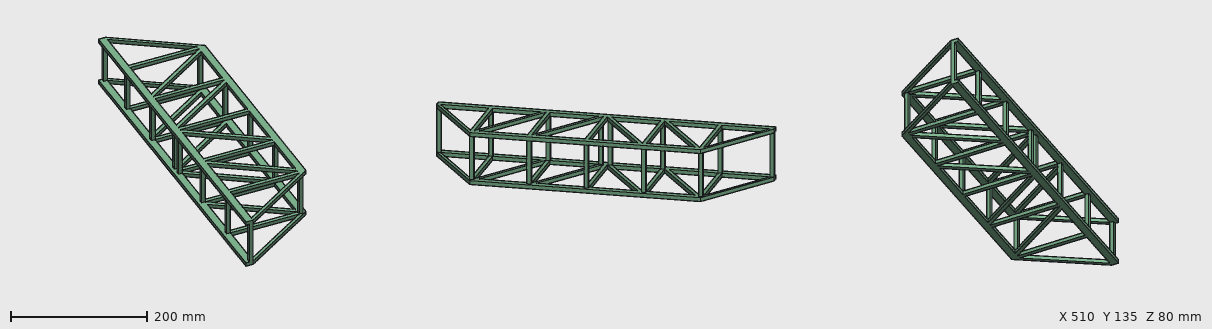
import cadquery as cq
import math

LENGTH = 510.0
WIDTH = 135.0
HEIGHT = 80.0

STICK = 6.0
CHORD_WIDTH = 11.5

PANEL = 86.5
PANELS_PER_HALF = 2
SHORT_CHORD_LENGTH = 349.0
MIDDLE_POST_OFFSET = 7.0

LONG_INNER_Y = -WIDTH / 2 + CHORD_WIDTH
SHORT_INNER_Y = WIDTH / 2 - CHORD_WIDTH
CLEAR_SPAN = SHORT_INNER_Y - LONG_INNER_Y

node_xs = [i * PANEL for i in range(-PANELS_PER_HALF, PANELS_PER_HALF + 1)]


def plate(points):
    """Extrude a plan outline to the thickness of one stick, resting on Z = 0."""
    return cq.Workplane("XY").polyline(points).close().extrude(STICK)


def block(x_center, y_min, x_size, y_size, z_size):
    """Box centred along X on x_center, starting at y_min and Z = 0."""
    box = cq.Workplane("XY").box(x_size, y_size, z_size, centered=(True, False, False))
    return box.translate((x_center, y_min, 0))


def mirrored(points):
    """The same outline on the other side of the middle."""
    return [(-x, y) for x, y in points]


def panel_diagonal(panel_index):
    """Outline of a diagonal that fills one panel corner to corner, on the -X half.

    It leaves the short chord beside one cross member and reaches the long chord
    beside the next. Its ends run into the chords by one stick.
    """
    x_top = node_xs[panel_index] + STICK / 2
    x_bottom = node_xs[panel_index + 1] - STICK / 2
    run = x_bottom - x_top
    a = CLEAR_SPAN**2 - STICK**2
    b = run * STICK**2
    c = STICK**2 * (run**2 + CLEAR_SPAN**2)
    slant = (-b + math.sqrt(b**2 + a * c)) / a
    overlap = STICK * (run - slant) / CLEAR_SPAN
    return [
        (x_top - overlap, SHORT_INNER_Y + STICK),
        (x_top + slant - overlap, SHORT_INNER_Y + STICK),
        (x_bottom + overlap, LONG_INNER_Y - STICK),
        (x_bottom - slant + overlap, LONG_INNER_Y - STICK),
    ]


def end_diagonal():
    """Outline of the sloping end member on the -X side, one stick wide along X."""
    x_low = -LENGTH / 2
    x_high = -SHORT_CHORD_LENGTH / 2
    return [
        (x_low, LONG_INNER_Y),
        (x_high, WIDTH / 2),
        (x_high + STICK, WIDTH / 2),
        (x_low + STICK, LONG_INNER_Y),
    ]


def truss():
    """One flat truss: two chords, cross members and diagonals."""
    frame = block(0, -WIDTH / 2, LENGTH, CHORD_WIDTH, STICK)
    frame = frame.union(block(0, SHORT_INNER_Y, SHORT_CHORD_LENGTH, CHORD_WIDTH, STICK))
    for x in node_xs:
        frame = frame.union(block(x, LONG_INNER_Y - STICK, STICK, CLEAR_SPAN + 2 * STICK, STICK))
    outlines = [panel_diagonal(i) for i in range(PANELS_PER_HALF)] + [end_diagonal()]
    for outline in outlines:
        frame = frame.union(plate(outline)).union(plate(mirrored(outline)))
    return frame


def posts():
    """Upright sticks joining the two trusses, standing on the inner stick of each chord."""
    half_long_xs = [MIDDLE_POST_OFFSET, PANEL, PANELS_PER_HALF * PANEL, (LENGTH - STICK) / 2]
    long_xs = half_long_xs + [-x for x in half_long_xs]
    places = [(x, LONG_INNER_Y - STICK) for x in long_xs]
    places += [(x, SHORT_INNER_Y) for x in node_xs]
    return [block(x, y, STICK, STICK, HEIGHT) for x, y in places]


lower_truss = truss()
result = lower_truss.union(lower_truss.translate((0, 0, HEIGHT - STICK)))
for post in posts():
    result = result.union(post)
result = result.clean()